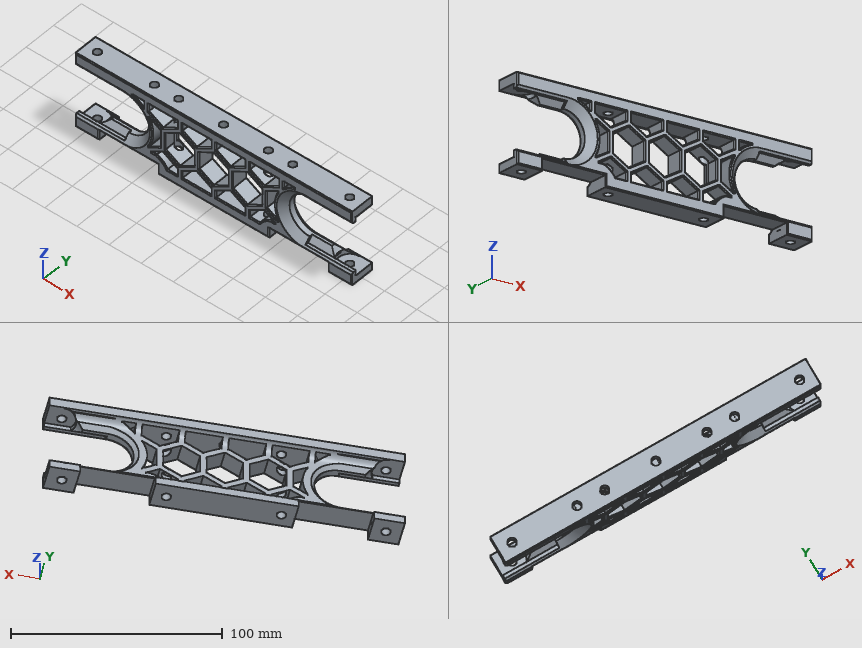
import cadquery as cq
import math

length = 172.0
depth = 15.0
height = 47.0
half_length = length / 2
mid_z = height / 2
mid_y = depth / 2

web_depth = 10.0
top_rail_z = height - 5.3
bottom_rail_z = 4.5
foot_inner_x = 71.2
block_half_width = 34.5
notch_height = 6.2
bottom_gusset_radius = 8.6
front_chamfer = 0.6

slot_x = 56.2
slot_radius = 12.5
slot_mouth_radius = 16.9
slot_back_radius = 18.0
slot_bevel_end_y = slot_mouth_radius - slot_radius
slot_back_bevel_y = 7.9
slot_back_end_y = slot_back_bevel_y + slot_back_radius - slot_radius

lip_half_height = 15.6
lip_depth = 3.1
relief_end_y = lip_depth + lip_half_height - slot_radius

end_hole_x = 78.4
clearance_radius = 6.9

cell_pitch = 21.0
cell_wall = 3.1
cell_diameter = (cell_pitch - cell_wall) / math.cos(math.pi / 6)
row_pitch = cell_pitch * math.cos(math.pi / 6)
window_bottom_z = 6.2
window_top_z = 41.1
window_ring_radius = 18.5
shoulder_top_z = 11.7
shoulder_start_x = 35.5
shoulder_end_x = 28.7
shoulder_mid = (31.3, 9.3)

hole_radius = 2.2
through_hole_x = 27.9
blind_hole_x = 43.0
blind_hole_depth = 5.3


def front_prism(sketch, thickness):
    """Extrude an XZ sketch from the front face towards +Y."""
    return sketch.extrude(-thickness)


def front_box(x_min, x_max, z_min, z_max, thickness):
    """Box with its front side at Y = 0."""
    size = (x_max - x_min, thickness, z_max - z_min)
    return cq.Workplane("XY").box(*size, centered=False).translate((x_min, 0, z_min))


def both_sides(solid):
    """The solid together with its mirror image in X."""
    return solid.union(solid.mirror("YZ"))


def body():
    """Constant section: two rails, the web and the gussets behind it."""
    gusset = depth - web_depth
    profile = (
        cq.Workplane("YZ")
        .moveTo(0, 0)
        .lineTo(depth, 0)
        .lineTo(depth, bottom_rail_z)
        .radiusArc((web_depth, bottom_rail_z + gusset), bottom_gusset_radius)
        .lineTo(web_depth, top_rail_z - gusset)
        .radiusArc((depth, top_rail_z), gusset)
        .lineTo(depth, height)
        .lineTo(0, height)
        .close()
    )
    return profile.extrude(half_length, both=True)


def foot_gap():
    """Gap under the body between the left foot and the centre block."""
    return front_box(-foot_inner_x, -block_half_width, 0, notch_height, depth)


def window_area():
    """Region of the web where the honeycomb may be open."""
    area = front_box(-slot_x, slot_x, window_bottom_z, window_top_z, depth)
    ring = cq.Workplane("XZ").center(-slot_x, mid_z).circle(window_ring_radius)
    shoulder = (
        cq.Workplane("XZ")
        .moveTo(-slot_x, 0)
        .lineTo(-slot_x, shoulder_top_z)
        .lineTo(-shoulder_start_x, shoulder_top_z)
        .threePointArc((-shoulder_mid[0], shoulder_mid[1]), (-shoulder_end_x, window_bottom_z))
        .lineTo(-shoulder_end_x, 0)
        .close()
    )
    area = area.cut(both_sides(front_prism(ring, depth)))
    return area.cut(both_sides(front_prism(shoulder, depth)))


def windows():
    """Hexagonal cells in three staggered rows, trimmed to the open region."""
    middle_row = [(column * cell_pitch, mid_z) for column in range(-2, 3)]
    upper_row = [((column + 0.5) * cell_pitch, mid_z + row_pitch) for column in range(-3, 3)]
    lower_row = [((column + 0.5) * cell_pitch, mid_z - row_pitch) for column in range(-2, 2)]
    hexagon = cq.Sketch().regularPolygon(cell_diameter / 2, 6, angle=0)
    cells = cq.Workplane("XZ").pushPoints(middle_row + upper_row + lower_row).placeSketch(hexagon)
    return front_prism(cells, depth).intersect(window_area())


def flared(window):
    """A window widened at 45 degrees towards the front face."""
    outline = cq.Workplane("XZ", origin=(0, front_chamfer, 0)).add(
        window.faces("<Y").wires().vals()[0].translate((0, front_chamfer, 0))
    )
    flare = outline.toPending().extrude(front_chamfer, taper=-45)
    return window.union(flare)


def slot_layer(y_start, y_end, radius_start, radius_end):
    """One layer of the left slot: a round end plus a straight run to the outside."""
    round_end = (
        cq.Workplane("XY")
        .moveTo(0, y_start)
        .lineTo(radius_start, y_start)
        .lineTo(radius_end, y_end)
        .lineTo(0, y_end)
        .close()
        .revolve(360, (0, 0, 0), (0, 1, 0))
        .translate((-slot_x, 0, mid_z))
    )
    straight_run = (
        cq.Workplane("YZ", origin=(-half_length, 0, mid_z))
        .polyline([
            (y_start, -radius_start),
            (y_start, radius_start),
            (y_end, radius_end),
            (y_end, -radius_end),
        ])
        .close()
        .extrude(half_length - slot_x)
    )
    return round_end.union(straight_run)


def slot():
    """Left slot through the full depth."""
    layers = slot_layer(0, slot_bevel_end_y, slot_mouth_radius, slot_radius)
    layers = layers.union(slot_layer(slot_bevel_end_y, slot_back_bevel_y, slot_radius, slot_radius))
    layers = layers.union(
        slot_layer(slot_back_bevel_y, slot_back_end_y, slot_radius, slot_back_radius)
    )
    return layers.union(slot_layer(slot_back_end_y, depth, slot_back_radius, slot_back_radius))


def lip_relief():
    """Step behind the lip along the straight run, parallel to the front bevel."""
    return (
        cq.Workplane("YZ", origin=(-half_length, 0, mid_z))
        .polyline([
            (0, -lip_half_height),
            (0, lip_half_height),
            (lip_depth, lip_half_height),
            (relief_end_y, slot_radius),
            (relief_end_y, -slot_radius),
            (lip_depth, -lip_half_height),
        ])
        .close()
        .extrude(half_length - slot_x)
    )


def screw_clearance():
    """Pocket around the left end screw, flaring at 45 degrees inside the lip height."""
    flare_radius = clearance_radius + lip_half_height
    profile = (
        cq.Workplane("XZ")
        .moveTo(0, bottom_rail_z)
        .lineTo(clearance_radius, bottom_rail_z)
        .lineTo(clearance_radius, mid_z - lip_half_height)
        .lineTo(flare_radius, mid_z)
        .lineTo(clearance_radius, mid_z + lip_half_height)
        .lineTo(clearance_radius, top_rail_z)
        .lineTo(0, top_rail_z)
        .close()
    )
    around_screw = profile.revolve(360, (0, 0, 0), (0, 1, 0)).translate((-end_hole_x, mid_y, 0))
    to_end = front_box(-half_length, -end_hole_x, bottom_rail_z, top_rail_z, depth)
    limit = front_box(-half_length, -slot_x, 0, height, depth - lip_depth)
    return around_screw.union(to_end).intersect(limit.translate((0, lip_depth, 0)))


def screw_holes(x_positions, hole_depth):
    """Holes drilled down from the top face along the middle of the depth."""
    return (
        cq.Workplane("XY", origin=(0, 0, height))
        .pushPoints([(x, mid_y) for x in x_positions])
        .circle(hole_radius)
        .extrude(-hole_depth)
    )


result = body().cut(both_sides(foot_gap()))
result = result.faces("<Y").edges().chamfer(front_chamfer)
for cell in windows().solids().vals():
    result = result.cut(flared(cq.Workplane(cell)))
result = result.cut(both_sides(slot()))
result = result.cut(both_sides(lip_relief()))
result = result.cut(both_sides(screw_clearance()))
result = result.cut(screw_holes([-end_hole_x, -through_hole_x, through_hole_x, end_hole_x], height))
result = result.cut(screw_holes([-blind_hole_x, 0, blind_hole_x], blind_hole_depth))